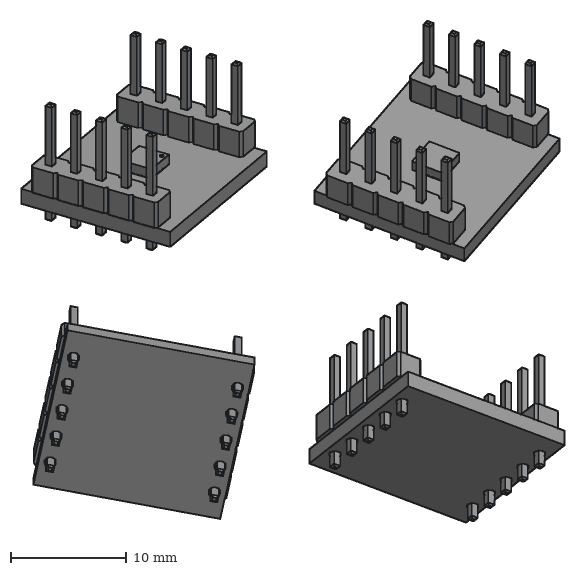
import cadquery as cq


board_width = 15.0
board_length = 16.5
board_thickness = 1.5
pin_hole_diameter = 1.0

component_clearance = 0.1

pin_count = 5
pitch = 2.54
row_spacing = 14.5
header_offset_x = -0.05
housing_chamfer = pitch / 10
pin_width = 0.64
pin_tip_chamfer = 0.16
pin_above_housing = 6.0
pin_below_housing = 3.0

chip_size = 3.0
chip_x = -0.03
chip_y = 0.275
chip_body_height = 0.98
pad_height = 0.02
pad_width = 0.29
pad_length = 0.35
pad_inset = 0.1
pad_pitch = 0.5
pads_on_y_sides = 5
pads_on_x_sides = 3
dot_diameter = 0.35
dot_depth = 0.05
dot_inset_x = 0.45
dot_inset_y = 0.475

component_bottom = board_thickness + component_clearance
row_centres_y = [side * row_spacing / 2 for side in (-1, 1)]


def centred_positions(count, spacing):
    """Evenly spaced positions along a line, centred on zero."""
    return [(i - (count - 1) / 2) * spacing for i in range(count)]


pin_centres_x = [header_offset_x + x for x in centred_positions(pin_count, pitch)]


def make_board():
    """Rectangular board with a round clearance hole for every header pin."""
    hole_centres = [(x, y) for x in pin_centres_x for y in row_centres_y]
    slab = cq.Workplane("XY").box(
        board_width, board_length, board_thickness, centered=(True, True, False)
    )
    holes = (
        cq.Workplane("XY")
        .pushPoints(hole_centres)
        .circle(pin_hole_diameter / 2)
        .extrude(board_thickness)
    )
    return slab.cut(holes)


def make_header(row_y):
    """One row of chamfered housing cells joined side by side, each holding a square pin."""
    pin_length = pin_below_housing + pitch + pin_above_housing
    cell = (
        cq.Workplane("XY")
        .box(pitch, pitch, pitch, centered=(True, True, False))
        .edges("|Z")
        .chamfer(housing_chamfer)
        .translate((0, 0, component_bottom))
    )
    pin = (
        cq.Workplane("XY")
        .box(pin_width, pin_width, pin_length, centered=(True, True, False))
        .faces("<Z or >Z")
        .chamfer(pin_tip_chamfer)
        .translate((0, 0, component_bottom - pin_below_housing))
    )
    header = cq.Workplane("XY")
    for x in pin_centres_x:
        header = header.union(cell.translate((x, row_y, 0)))
        header = header.union(pin.translate((x, row_y, 0)))
    return header


def make_chip():
    """Square chip body with a ring of thin pads underneath, with a pin 1 dot sunk in its top."""
    half_size = chip_size / 2
    body_top = pad_height + chip_body_height
    pad_centre = half_size - pad_inset - pad_length / 2
    dot_centre = (half_size - dot_inset_x, half_size - dot_inset_y)

    chip = (
        cq.Workplane("XY")
        .workplane(offset=pad_height)
        .rect(chip_size, chip_size)
        .extrude(chip_body_height)
    )
    for side in (-1, 1):
        y_side_pads = [(x, side * pad_centre) for x in centred_positions(pads_on_y_sides, pad_pitch)]
        x_side_pads = [(side * pad_centre, y) for y in centred_positions(pads_on_x_sides, pad_pitch)]
        chip = chip.union(
            cq.Workplane("XY").pushPoints(y_side_pads).rect(pad_width, pad_length).extrude(pad_height)
        )
        chip = chip.union(
            cq.Workplane("XY").pushPoints(x_side_pads).rect(pad_length, pad_width).extrude(pad_height)
        )

    dot = (
        cq.Workplane("XY")
        .workplane(offset=body_top - dot_depth)
        .center(*dot_centre)
        .circle(dot_diameter / 2)
        .extrude(dot_depth)
    )
    return chip.cut(dot).translate((chip_x, chip_y, component_bottom))


board = make_board()
headers = [make_header(row_y) for row_y in row_centres_y]
chip = make_chip()

result = cq.Compound.makeCompound(
    [*board.solids().vals(), *[header.solids().val() for header in headers], *chip.solids().vals()]
)